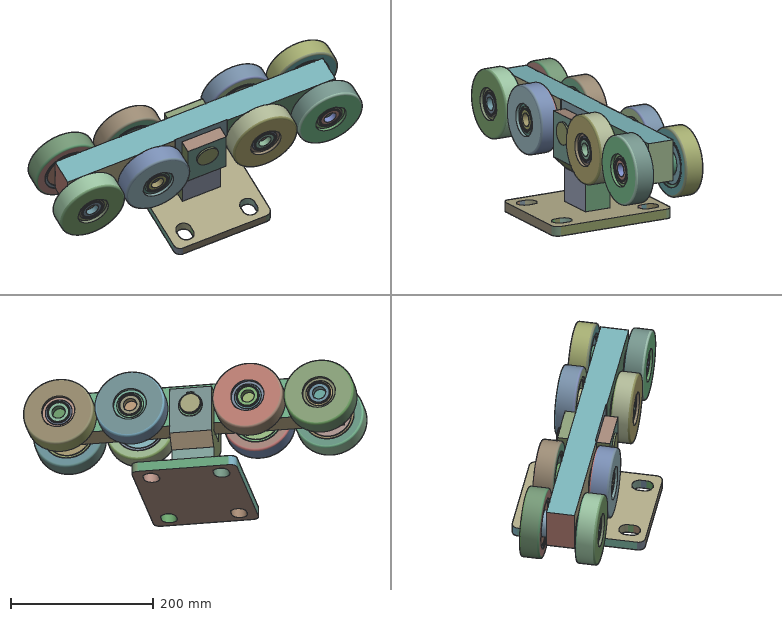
import cadquery as cq

plate_length_x = 190.0
plate_length_y = 150.0
plate_thickness = 14.0
plate_corner_radius = 10.0
slot_length = 30.0
slot_width = 22.0
slot_spacing_x = 139.5
slot_spacing_y = 100.0

trolley_offset_x = 0.5

stem_width = 40.0
fork_length_y = 60.0
fork_width = 75.5
fork_slope_bottom = 63.5
fork_slope_top = 82.0
fork_floor = 89.5
fork_top = 149.5

overall_length = 472.0
overall_height = 174.0
wheel_diameter = 100.0
wheel_radius = wheel_diameter / 2
wheel_width = 29.0
wheel_edge_fillet = 3.0
wheel_outer_face = 54.5
wheel_inner_face = wheel_outer_face - wheel_width
inner_wheel_y = 84.0
outer_wheel_y = overall_length / 2 - wheel_radius
inner_wheel_z = overall_height - wheel_radius
outer_wheel_drop = 3.5
outer_wheel_z = inner_wheel_z - outer_wheel_drop

hub_recess_diameter = 47.0
hub_recess_depth = 4.5
bearing_seat_diameter = 72.0
bearing_seat_depth = 1.5
bearing_recess_diameter = 63.5
bearing_recess_depth = 3.0
bushing_diameter = 38.0
bushing_depth = 4.0
collar_diameter = 33.0
collar_depth = 3.0
groove_outer_diameter = 32.0
groove_bottom_diameter = 30.0
groove_inner_diameter = 29.0
groove_depth = 1.5
axle_bore_diameter = 19.0
axle_bore_depth = 9.5

beam_length = 418.5
beam_width = 40.0
beam_height = 60.0
beam_bottom = 101.0
beam_relief_length = 81.0
beam_relief_depth = 1.5

pin_diameter = 30.0
pin_chamfer = 0.7
pin_overhang = 4.5
pin_z = inner_wheel_z
head_diameter = 33.0
head_thickness = 3.0
ring_diameter = 34.0
ring_offset = 1.65
ring_gap = 0.5
ring_thickness = 1.5
ring_lug_diameter = 37.0
ring_lug_width = 10.5
ring_hole_diameter = 2.0
ring_hole_radius = 16.5
ring_hole_spacing = 4.2


def x_cylinder(diameter, x_start, x_end, y, z):
    """Cylinder along X between two X positions."""
    plane = cq.Workplane("YZ", origin=(x_start, y, z))
    return plane.circle(diameter / 2).extrude(x_end - x_start)


def box_on(z_bottom, size_x, size_y, size_z):
    """Box centred on the Z axis with its bottom at z_bottom."""
    box = cq.Workplane("XY").box(size_x, size_y, size_z, centered=(True, True, False))
    return box.translate((0, 0, z_bottom))


def make_base_plate():
    plate = box_on(0, plate_length_x, plate_length_y, plate_thickness)
    plate = plate.edges("|Z").fillet(plate_corner_radius)
    slots = (
        cq.Workplane("XY")
        .rarray(slot_spacing_x, slot_spacing_y, 2, 2)
        .slot2D(slot_length, slot_width)
        .extrude(plate_thickness)
    )
    return plate.cut(slots)


def make_fork():
    stem = box_on(plate_thickness, stem_width, fork_length_y, fork_slope_bottom - plate_thickness)
    outer_x = fork_width / 2
    left_inner_x = -beam_width / 2
    right_inner_x = beam_width / 2 - beam_relief_depth
    outline = [
        (right_inner_x, fork_slope_bottom),
        (outer_x, fork_slope_top),
        (outer_x, fork_top),
        (right_inner_x, fork_top),
        (right_inner_x, fork_floor),
        (left_inner_x, fork_floor),
        (left_inner_x, fork_top),
        (-outer_x, fork_top),
        (-outer_x, fork_slope_top),
        (left_inner_x, fork_slope_bottom),
    ]
    fork = (
        cq.Workplane("XZ")
        .polyline(outline)
        .close()
        .extrude(fork_length_y / 2, both=True)
    )
    return stem.union(fork)


def make_beam():
    beam = box_on(beam_bottom, beam_width, beam_length, beam_height)
    relief = box_on(beam_bottom, beam_relief_depth, beam_relief_length, beam_height)
    relief = relief.translate(((beam_width - beam_relief_depth) / 2, 0, 0))
    return beam.cut(relief)


def make_collar_groove():
    """V-section ring around the X axis, open towards -X at x = 0."""
    section = [
        (0, groove_outer_diameter / 2),
        (groove_depth, groove_bottom_diameter / 2),
        (0, groove_inner_diameter / 2),
    ]
    return cq.Workplane("XY").polyline(section).close().revolve(360, (0, 0), (1, 0))


def make_wheel(y, z):
    """Wheel on the -X side with its bushing reaching the beam."""
    outer_face = -wheel_outer_face
    inner_face = -wheel_inner_face
    wheel = x_cylinder(wheel_diameter, outer_face, inner_face, y, z)
    wheel = wheel.edges("%CIRCLE").fillet(wheel_edge_fillet)
    recess_floor = outer_face + hub_recess_depth
    wheel = wheel.cut(x_cylinder(hub_recess_diameter, outer_face, recess_floor, y, z))
    bearing_seat = x_cylinder(bearing_seat_diameter, inner_face - bearing_seat_depth, inner_face, y, z)
    bearing_recess = x_cylinder(bearing_recess_diameter, inner_face - bearing_recess_depth, inner_face, y, z)
    wheel = wheel.cut(bearing_seat).cut(bearing_recess)

    bushing = x_cylinder(bushing_diameter, outer_face + bushing_depth, -beam_width / 2, y, z)
    collar_face = outer_face + collar_depth
    collar = x_cylinder(collar_diameter, collar_face, recess_floor, y, z)
    collar = collar.cut(make_collar_groove().translate((collar_face, y, z)))
    bore = x_cylinder(axle_bore_diameter, collar_face, collar_face + axle_bore_depth, y, z)
    return wheel.union(bushing).union(collar).cut(bore)


def make_pivot_pin():
    fork_face = fork_width / 2
    pin = x_cylinder(pin_diameter, -fork_face - pin_overhang, fork_face, 0, pin_z)
    pin = pin.faces("<X").chamfer(pin_chamfer)
    head = x_cylinder(head_diameter, fork_face, fork_face + head_thickness, 0, pin_z)

    ring_inner_x = -fork_face - ring_gap
    ring_outer_x = ring_inner_x - ring_thickness
    ring = x_cylinder(ring_diameter, ring_outer_x, ring_inner_x, 0, pin_z - ring_offset)
    lug_strip = box_on(pin_z, fork_width * 2, ring_lug_width, ring_lug_diameter)
    lugs = x_cylinder(ring_lug_diameter, ring_outer_x, ring_inner_x, 0, pin_z).intersect(lug_strip)
    ring = ring.union(lugs)
    for hole_y in (-ring_hole_spacing / 2, ring_hole_spacing / 2):
        hole_z = pin_z + ring_hole_radius
        ring = ring.cut(x_cylinder(ring_hole_diameter, ring_outer_x, ring_inner_x, hole_y, hole_z))
    return pin.union(head).union(ring)


trolley = make_fork().union(make_beam()).union(make_pivot_pin())

wheel_positions = [(inner_wheel_y, inner_wheel_z), (outer_wheel_y, outer_wheel_z)]
for wheel_y, wheel_z in wheel_positions:
    for y_sign in (1, -1):
        wheel = make_wheel(y_sign * wheel_y, wheel_z)
        trolley = trolley.union(wheel).union(wheel.mirror("YZ"))

result = make_base_plate().union(trolley.translate((trolley_offset_x, 0, 0)))